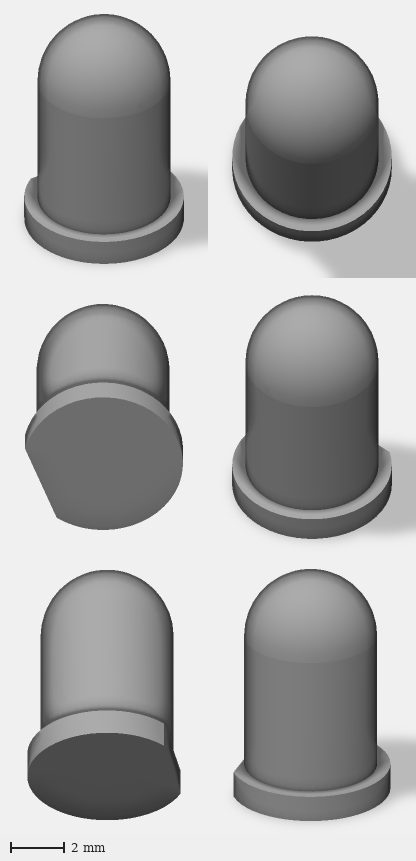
import cadquery as cq

total_height = 8.8
body_diameter = 5.0
flange_diameter = 6.0
flange_height = 1.0

body_radius = body_diameter / 2
flange_radius = flange_diameter / 2
dome_base_z = total_height - body_radius
flat_x = -body_radius


def make_flange():
    """Round flange with one flat on the -X side."""
    disc = cq.Workplane("XY").circle(flange_radius).extrude(flange_height)
    keep_width = flange_radius - flat_x
    keep_box = cq.Workplane("XY").box(
        keep_width, flange_diameter, flange_height, centered=(False, True, False)
    )
    return disc.intersect(keep_box.translate((flat_x, 0, 0)))


def make_domed_body():
    """Cylinder with a hemispherical top, revolved about Z from the flange top."""
    arc_offset = body_radius * 0.5 ** 0.5
    return (
        cq.Workplane("XZ")
        .moveTo(0, flange_height)
        .lineTo(body_radius, flange_height)
        .lineTo(body_radius, dome_base_z)
        .threePointArc((arc_offset, dome_base_z + arc_offset), (0, total_height))
        .close()
        .revolve(360, (0, 0, 0), (0, 1, 0))
    )


result = make_flange().union(make_domed_body())